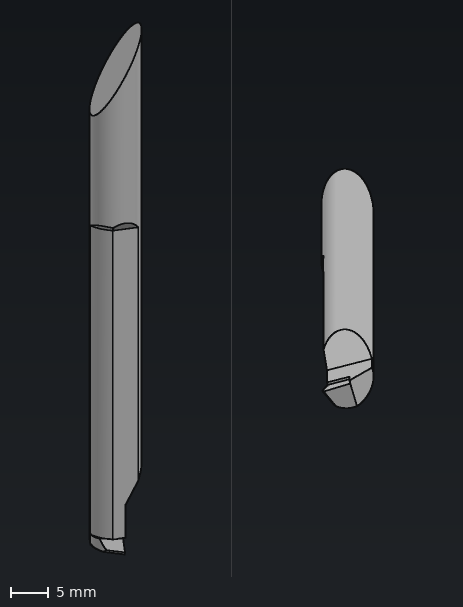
import cadquery as cq
import math


length = 73.3
radius = 3.48
top_cut_angle = 30.0
margin = 3.7

relief_start_x = -0.4
neck_side_x = 2.8
neck_back_x = 2.65
neck_corner_y = -1.5
neck_arc_rise = 0.4
relief_top_z = 45.6
relief_end_angle = 34.0
relief_end_height = 2.2

flat_y = 0.4
flat_top_z = 6.75
flat_runout_angle = 30.0
end_bevel_top_z = 3.4
end_bevel_bottom_z = 0.65

tip_height = 2.1
tip_heel_z = 0.45
tip_nose_x = 3.3
tip_side_z = 0.4
side_clearance_angle = 21.0
end_clearance_angle = 8.0


def make_bar():
    """Round bar with its top cut off obliquely, highest on the +Y side."""
    top_drop = 2 * radius / math.tan(math.radians(top_cut_angle))
    side_profile = [(-radius, 0), (radius, 0), (radius, length), (-radius, length - top_drop)]
    side_prism = cq.Workplane("YZ").polyline(side_profile).close().extrude(radius, both=True)
    return cq.Workplane("XY").circle(radius).extrude(length).intersect(side_prism)


def neck_outline(plane):
    """Neck section: a shallow arc on the -Y side, flat on the +X side."""
    neck_front = -math.sqrt(radius**2 - relief_start_x**2)
    return (
        plane.moveTo(relief_start_x, neck_front)
        .sagittaArc((neck_side_x, neck_corner_y), -neck_arc_rise)
        .lineTo(neck_back_x, radius + margin)
        .lineTo(relief_start_x, radius + margin)
        .close()
    )


def make_relief():
    """Material removed beside the neck, ending in a sloping shoulder."""
    width = radius + margin - relief_start_x
    block = (
        cq.Workplane("XY")
        .box(width, 2 * (radius + margin), relief_top_z + relief_end_height, centered=(False, True, False))
        .translate((relief_start_x, 0, 0))
    )
    neck = neck_outline(cq.Workplane("XY")).extrude(relief_top_z)
    shoulder = neck_outline(cq.Workplane("XY", origin=(0, 0, relief_top_z))).extrude(
        relief_end_height, taper=-relief_end_angle
    )
    return block.cut(neck).cut(shoulder)


def make_flat_cut():
    """Material removed on the +Y side of the lower end."""
    outer_y = radius + margin
    runout_z = flat_top_z + (outer_y - flat_y) / math.tan(math.radians(flat_runout_angle))
    profile = [(flat_y, -margin), (outer_y, -margin), (outer_y, runout_z), (flat_y, flat_top_z)]
    return cq.Workplane("YZ").polyline(profile).close().extrude(radius + margin, both=True)


def make_end_cut():
    """Bevel across the lower end and the seat that receives the tip."""
    profile = [
        (-radius, -margin),
        (-radius, end_bevel_top_z),
        (relief_start_x, end_bevel_bottom_z),
        (relief_start_x, tip_height),
        (radius + margin, tip_height),
        (radius + margin, -margin),
    ]
    return cq.Workplane("XZ").polyline(profile).close().extrude(radius + margin, both=True)


def make_shank():
    return make_bar().cut(make_relief()).cut(make_flat_cut()).cut(make_end_cut())


def make_tip():
    """Cutting tip with side and end faces that recede below the rake face."""
    side_slope = (radius - neck_side_x) / (tip_height - tip_side_z)
    end_slope = tip_heel_z / (tip_nose_x - relief_start_x)
    inner_x = relief_start_x - margin
    upper_z = tip_height + margin
    profile = [
        (inner_x, tip_heel_z + margin * end_slope),
        (tip_nose_x, 0),
        (radius, tip_side_z),
        (neck_side_x - margin * side_slope, upper_z),
        (inner_x, upper_z),
    ]
    sweep = cq.Vector(
        -radius * math.tan(math.radians(side_clearance_angle)),
        -radius,
        radius * math.tan(math.radians(end_clearance_angle)),
    )
    rake_wire = cq.Workplane("XZ").polyline(profile).close().val()
    wedge = cq.Workplane(cq.Solid.extrudeLinear(rake_wire, [], sweep))
    seat = (
        cq.Workplane("XY")
        .box(radius - relief_start_x, 2 * radius, tip_height, centered=(False, True, False))
        .translate((relief_start_x, 0, 0))
    )
    return cq.Workplane("XY").circle(radius).extrude(tip_height).intersect(seat).intersect(wedge)


shank = make_shank()
tip = make_tip()

result = cq.Compound.makeCompound([shank.solids().val(), tip.solids().val()])